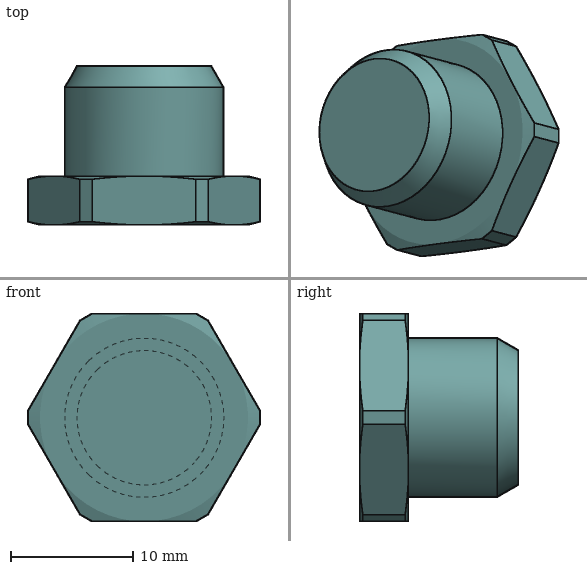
import cadquery as cq
import math

corner_width = 18.97
across_flats = 17.0
head_thickness = 4.0
edge_chamfer_angle = 15.0

total_length = 13.0
shank_diameter = 13.01
tip_chamfer_length = 1.75
tip_chamfer_angle = 30.0

flat_radius = across_flats / 2
sharp_corner_width = across_flats / math.cos(math.radians(30))
shank_radius = shank_diameter / 2
tip_radius = shank_radius - tip_chamfer_length * math.tan(math.radians(tip_chamfer_angle))


def hexagon_prism(corner_to_corner):
    """Prism from y = 0 to the head thickness, with two corners on the X axis."""
    return (
        cq.Workplane("XZ")
        .polygon(6, corner_to_corner)
        .extrude(-head_thickness)
    )


def make_head():
    """Hexagon with flattened corners and conical chamfers on both faces."""
    sharp_head = hexagon_prism(sharp_corner_width)
    corner_limit = hexagon_prism(corner_width / math.cos(math.radians(30)))
    corner_limit = corner_limit.rotate((0, 0, 0), (0, 1, 0), 30)

    envelope_radius = sharp_corner_width / 2
    cone_drop = (envelope_radius - flat_radius) * math.tan(math.radians(edge_chamfer_angle))
    chamfer_envelope = (
        cq.Workplane("XY")
        .moveTo(0, 0)
        .lineTo(flat_radius, 0)
        .lineTo(envelope_radius, cone_drop)
        .lineTo(envelope_radius, head_thickness - cone_drop)
        .lineTo(flat_radius, head_thickness)
        .lineTo(0, head_thickness)
        .close()
        .revolve(360, (0, 0, 0), (0, 1, 0))
    )
    return sharp_head.intersect(corner_limit).intersect(chamfer_envelope)


def make_shank():
    """Solid cylinder with a conical tip, running through the head to its flat face."""
    return (
        cq.Workplane("XY")
        .moveTo(0, 0)
        .lineTo(shank_radius, 0)
        .lineTo(shank_radius, total_length - tip_chamfer_length)
        .lineTo(tip_radius, total_length)
        .lineTo(0, total_length)
        .close()
        .revolve(360, (0, 0, 0), (0, 1, 0))
    )


result = make_head().union(make_shank())